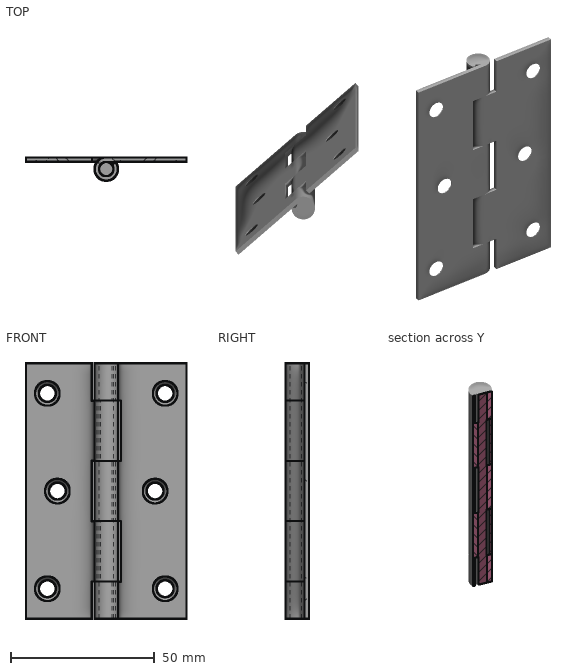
import cadquery as cq
import math


hinge_width = 56.0
hinge_height = 89.0
sheet_thickness = 1.6
leaf_reach = hinge_width / 2
notch_edge = 5.0

pin_radius = 2.5
knuckle_radius = pin_radius + sheet_thickness
roll_gap = 0.03
roll_end_angle = math.asin((pin_radius - roll_gap) / knuckle_radius)

end_knuckle_height = 13.0
inner_knuckle_count = 3
inner_knuckle_height = (hinge_height - 2 * end_knuckle_height) / inner_knuckle_count
knuckle_heights = [end_knuckle_height] + [inner_knuckle_height] * inner_knuckle_count + [end_knuckle_height]

screw_head_diameter = 8.6
screw_hole_diameter = 5.8
countersink_depth = (screw_head_diameter - screw_hole_diameter) / 2
outer_screw_x = 20.5
middle_screw_x = 17.0
outer_screw_z = 34.0
screw_places = [
    (outer_screw_x, outer_screw_z),
    (middle_screw_x, 0),
    (outer_screw_x, -outer_screw_z),
]


def knuckle_spans():
    """Bottom and top Z of every knuckle, from the lowest to the highest."""
    spans = []
    bottom = -hinge_height / 2
    for height in knuckle_heights:
        spans.append((bottom, bottom + height))
        bottom += height
    return spans


def make_knuckle(bottom, top):
    """Strip of sheet that leaves the leaf flat and rolls around the pin."""
    end_cos = math.cos(roll_end_angle)
    end_sin = math.sin(roll_end_angle)
    middle_angle = (math.pi / 2 + roll_end_angle + 2 * math.pi) / 2
    middle_cos = math.cos(middle_angle)
    middle_sin = math.sin(middle_angle)

    def on_roll(radius, cosine, sine):
        return (radius * cosine, radius * sine)

    return (
        cq.Workplane("XY", origin=(0, 0, bottom))
        .moveTo(notch_edge, knuckle_radius)
        .lineTo(0, knuckle_radius)
        .threePointArc(
            on_roll(knuckle_radius, middle_cos, middle_sin),
            on_roll(knuckle_radius, end_cos, end_sin),
        )
        .lineTo(*on_roll(pin_radius, end_cos, end_sin))
        .threePointArc(on_roll(pin_radius, middle_cos, middle_sin), (0, pin_radius))
        .lineTo(notch_edge, pin_radius)
        .close()
        .extrude(top - bottom)
    )


def make_screw_hole(x, z):
    """Countersunk hole, widest on the knuckle side of the sheet."""
    return (
        cq.Workplane("XY")
        .lineTo(screw_head_diameter / 2, 0)
        .lineTo(screw_hole_diameter / 2, countersink_depth)
        .lineTo(screw_hole_diameter / 2, sheet_thickness)
        .lineTo(0, sheet_thickness)
        .close()
        .revolve(360, (0, 0, 0), (0, 1, 0))
        .translate((x, pin_radius, z))
    )


def make_leaf(spans):
    """Leaf on the +X side, carrying a knuckle on each of the given spans."""
    plate_width = leaf_reach - notch_edge
    leaf = (
        cq.Workplane("XY")
        .box(plate_width, sheet_thickness, hinge_height, centered=(False, False, True))
        .translate((notch_edge, pin_radius, 0))
    )
    for bottom, top in spans:
        leaf = leaf.union(make_knuckle(bottom, top))
    leaf = leaf.clean()
    for x, z in screw_places:
        leaf = leaf.cut(make_screw_hole(x, z))
    return leaf


def make_pin():
    return cq.Workplane("XY").circle(pin_radius).extrude(hinge_height / 2, both=True)


all_spans = knuckle_spans()
right_leaf = make_leaf(all_spans[0::2])
left_leaf = make_leaf(all_spans[1::2]).mirror("YZ")
pin = make_pin()

result = cq.Compound.makeCompound([right_leaf.solids().val(), left_leaf.solids().val(), pin.solids().val()])